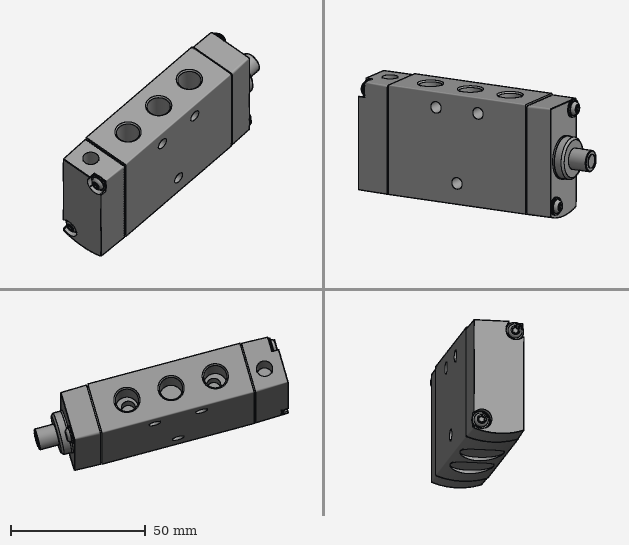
import cadquery as cq
import math

HOUSING_WIDTH = 20.0
HOUSING_TOP = 21.85
HOUSING_BOTTOM = -21.85
HOUSING_REAR = 24.6
HOUSING_FRONT = -34.1
HOUSING_ROUND = 0.5
BELLY_SAG = 1.7
HOUSING_CENTRE = (HOUSING_REAR + HOUSING_FRONT) / 2

PORT_PITCH = 17.0
PORT_DIAMETER = 8.6
PORT_RIM_DIAMETER = 9.7
PORT_RIM_DEPTH = 0.6
PORT_DEPTH = 11.35
PASSAGE_DIAMETER = 5.2
PASSAGE_DEPTH = 17.0
PASSAGE_SHIFT = 0.6

SEAT_PITCH = 19.5
SEAT_DIAMETER = 16.5
SEAT_DEPTH = 1.3

MOUNT_DIAMETER = 4.4
MOUNT_PITCH = 18.0
MOUNT_UPPER_Z = 15.9
MOUNT_LOWER_Z = -12.1

CAP_GAP = 0.6
NECK_INSET = 0.5
CAP_INNER_WIDTH = 19.9
CAP_TOP = 21.5
CAP_CHAMFER = 0.2
CAP_DRAFT = 2.1
REAR_CAP_END = 35.2
REAR_CAP_FLAT_WIDTH = 18.0
FRONT_CAP_END = -47.3
FRONT_CAP_FLAT_WIDTH = 18.35
PILOT_DIAMETER = 6.0
PILOT_X = -2.0
PILOT_Y = -40.2
PILOT_DEPTH = 9.5

SCREW_X = 6.39
SCREW_UPPER_Z = 18.3
SCREW_LOWER_Z = -16.5
WASHER_DIAMETER = 6.8
WASHER_THICKNESS = 0.4
COLLAR_DIAMETER = 6.6
COLLAR_THICKNESS = 0.5
HEAD_DIAMETER = 5.4
HEAD_TOP_DIAMETER = 3.4
HEAD_HEIGHT = 1.4
HEAD_BULGE = 0.3
SOCKET_DIAMETER = 2.2
SOCKET_LOBE_DIAMETER = 0.6
SOCKET_TIP_DIAMETER = 2.7
SOCKET_DEPTH = 0.9
SOCKET_LOBES = 6
RECESS_DIAMETER = 7.4
RECESS_DEPTH = 2.7
RELIEF_WIDTH = 5.3

AXIS_Z = 0.85
BUSH_FLANGE_DIAMETER = 16.5
BUSH_FLANGE_THICKNESS = 0.7
BUSH_DIAMETER = 16.0
BUSH_END = 39.5
BUSH_CHAMFER = 0.85
PLUNGER_DIAMETER = 8.0
PLUNGER_END = 47.3
PLUNGER_INNER_END = HOUSING_REAR + CAP_GAP
PLUNGER_CHAMFER = 0.3
TIP_DIAMETER = 5.2
TIP_HEIGHT = 0.3


def section(width, top, bottom, corner_radius):
    """Upright rectangle with an arched underside and rounded corners."""
    half = width / 2
    side_bottom = bottom + BELLY_SAG
    return (
        cq.Sketch()
        .segment((-half, side_bottom), (-half, top))
        .segment((half, top))
        .segment((half, side_bottom))
        .arc((half, side_bottom), (0, bottom), (-half, side_bottom))
        .assemble()
        .vertices()
        .fillet(corner_radius)
    )


def along_y(start):
    """Upright plane at Y = start; positive extrusions run towards -Y."""
    return cq.Workplane("XZ", origin=(0, start, 0))


def make_housing():
    body = (
        along_y(HOUSING_REAR)
        .placeSketch(section(HOUSING_WIDTH, HOUSING_TOP, HOUSING_BOTTOM, HOUSING_ROUND))
        .extrude(HOUSING_REAR - HOUSING_FRONT)
    )
    top = cq.Workplane("XY", origin=(0, HOUSING_CENTRE, HOUSING_TOP))
    for side in (-1, 0, 1):
        port = top.center(0, side * PORT_PITCH)
        body = body.cut(port.circle(PORT_DIAMETER / 2).extrude(-PORT_DEPTH))
        rim = (
            port.circle(PORT_RIM_DIAMETER / 2)
            .workplane(offset=-PORT_RIM_DEPTH)
            .circle(PORT_DIAMETER / 2)
            .loft()
        )
        body = body.cut(rim)
        if side:
            passage = top.center(0, side * (PORT_PITCH - PASSAGE_SHIFT))
            body = body.cut(passage.circle(PASSAGE_DIAMETER / 2).extrude(-PASSAGE_DEPTH))

    seats = (
        cq.Workplane("XY", origin=(0, HOUSING_CENTRE, HOUSING_BOTTOM))
        .pushPoints([(0, side * SEAT_PITCH / 2) for side in (-1, 1)])
        .circle(SEAT_DIAMETER / 2)
        .extrude(SEAT_DEPTH)
    )
    mounts = (
        cq.Workplane("YZ", origin=(0, HOUSING_CENTRE, 0))
        .pushPoints([
            (-MOUNT_PITCH / 2, MOUNT_UPPER_Z),
            (MOUNT_PITCH / 2, MOUNT_UPPER_Z),
            (0, MOUNT_LOWER_Z),
        ])
        .circle(MOUNT_DIAMETER / 2)
        .extrude(HOUSING_WIDTH, both=True)
    )
    return body.cut(seats).cut(mounts)


def make_cap(housing_face, end, flat_width):
    """Drafted cap on a narrower neck that bridges the groove; its top flat keeps one width."""
    outward = math.copysign(1, end - housing_face)
    inner = housing_face + outward * CAP_GAP
    length = abs(end - inner)
    outer_width = CAP_INNER_WIDTH - 2 * length * math.tan(math.radians(CAP_DRAFT))
    inner_radius = (CAP_INNER_WIDTH - flat_width) / 2
    outer_radius = (outer_width - flat_width) / 2
    outer_section = section(outer_width, CAP_TOP, HOUSING_BOTTOM, outer_radius)
    cap = (
        along_y(inner)
        .placeSketch(
            section(CAP_INNER_WIDTH, CAP_TOP, HOUSING_BOTTOM, inner_radius),
            outer_section.moved(cq.Location((0, 0, -outward * length))),
        )
        .loft(ruled=True)
        .faces(">Y" if outward > 0 else "<Y")
        .chamfer(CAP_CHAMFER)
    )
    neck_section = section(
        CAP_INNER_WIDTH - 2 * NECK_INSET,
        CAP_TOP - NECK_INSET,
        HOUSING_BOTTOM + NECK_INSET,
        inner_radius,
    )
    neck = along_y(housing_face).placeSketch(neck_section).extrude(-outward * CAP_GAP)
    return cap.union(neck)


def make_screw():
    """Washer-head screw seated on Z = 0, with a six-lobed socket in its domed head."""
    collar_top = WASHER_THICKNESS + COLLAR_THICKNESS
    height = collar_top + HEAD_HEIGHT
    head_mid = ((HEAD_DIAMETER + HEAD_TOP_DIAMETER) / 4 + HEAD_BULGE, collar_top + HEAD_HEIGHT / 2)
    head = (
        cq.Workplane("XZ")
        .lineTo(WASHER_DIAMETER / 2, 0)
        .lineTo(WASHER_DIAMETER / 2, WASHER_THICKNESS)
        .lineTo(COLLAR_DIAMETER / 2, WASHER_THICKNESS)
        .lineTo(COLLAR_DIAMETER / 2, collar_top)
        .lineTo(HEAD_DIAMETER / 2, collar_top)
        .threePointArc(head_mid, (HEAD_TOP_DIAMETER / 2, height))
        .lineTo(0, height)
        .close()
        .revolve(360, (0, 0), (0, 1))
    )
    socket_top = cq.Workplane("XY", origin=(0, 0, height))
    lobe_circle = (SOCKET_TIP_DIAMETER - SOCKET_LOBE_DIAMETER) / 2
    socket = socket_top.circle(SOCKET_DIAMETER / 2).extrude(-SOCKET_DEPTH)
    lobes = (
        socket_top.polarArray(lobe_circle, 90, 360, SOCKET_LOBES)
        .circle(SOCKET_LOBE_DIAMETER / 2)
        .extrude(-SOCKET_DEPTH)
    )
    return head.cut(socket).cut(lobes)


def make_bush():
    """Flanged bush with a chamfered mouth."""
    flange_top = REAR_CAP_END + BUSH_FLANGE_THICKNESS
    chamfer_start = BUSH_END - BUSH_CHAMFER
    return (
        cq.Workplane("XY")
        .moveTo(0, REAR_CAP_END)
        .lineTo(BUSH_FLANGE_DIAMETER / 2, REAR_CAP_END)
        .lineTo(BUSH_FLANGE_DIAMETER / 2, flange_top)
        .lineTo(BUSH_DIAMETER / 2, flange_top)
        .lineTo(BUSH_DIAMETER / 2, chamfer_start)
        .lineTo(BUSH_DIAMETER / 2 - BUSH_CHAMFER, BUSH_END)
        .lineTo(0, BUSH_END)
        .close()
        .revolve(360, (0, 0), (0, 1))
        .translate((0, 0, AXIS_Z))
    )


def make_rear_cap():
    cap = make_cap(HOUSING_REAR, REAR_CAP_END, REAR_CAP_FLAT_WIDTH)
    cap = cap.union(make_bush())
    for x, z in ((-SCREW_X, SCREW_UPPER_Z), (SCREW_X, SCREW_LOWER_Z)):
        screw = make_screw().rotate((0, 0, 0), (1, 0, 0), -90)
        cap = cap.union(screw.translate((x, REAR_CAP_END, z)))
    bore = (
        along_y(BUSH_END)
        .center(0, AXIS_Z)
        .circle(PLUNGER_DIAMETER / 2)
        .extrude(BUSH_END - PLUNGER_INNER_END)
    )
    return cap.cut(bore)


def make_front_cap():
    cap = make_cap(HOUSING_FRONT, FRONT_CAP_END, FRONT_CAP_FLAT_WIDTH)
    pilot = (
        cq.Workplane("XY", origin=(PILOT_X, PILOT_Y, CAP_TOP))
        .circle(PILOT_DIAMETER / 2)
        .extrude(-PILOT_DEPTH)
    )
    cap = cap.cut(pilot)
    recess_floor = FRONT_CAP_END + RECESS_DEPTH
    upper = along_y(recess_floor).center(SCREW_X, SCREW_UPPER_Z)
    lower = along_y(recess_floor).center(-SCREW_X, SCREW_LOWER_Z)
    for place in (upper, lower):
        cap = cap.cut(place.circle(RECESS_DIAMETER / 2).extrude(RECESS_DEPTH))
    corner_shift = (RECESS_DIAMETER - RELIEF_WIDTH) / 2
    upper_relief = upper.center(corner_shift, corner_shift).rect(RECESS_DIAMETER, RECESS_DIAMETER)
    lower_relief = lower.center(-RECESS_DIAMETER / 2, 0).rect(RECESS_DIAMETER, RELIEF_WIDTH)
    for relief in (upper_relief, lower_relief):
        cap = cap.cut(relief.extrude(RECESS_DEPTH))
    for x, z in ((SCREW_X, SCREW_UPPER_Z), (-SCREW_X, SCREW_LOWER_Z)):
        screw = make_screw().rotate((0, 0, 0), (1, 0, 0), 90)
        cap = cap.union(screw.translate((x, recess_floor, z)))
    return cap


def make_plunger():
    shoulder = PLUNGER_END - TIP_HEIGHT
    rod = (
        along_y(shoulder)
        .center(0, AXIS_Z)
        .circle(PLUNGER_DIAMETER / 2)
        .extrude(shoulder - PLUNGER_INNER_END)
        .faces(">Y")
        .chamfer(PLUNGER_CHAMFER)
    )
    tip = along_y(PLUNGER_END).center(0, AXIS_Z).circle(TIP_DIAMETER / 2).extrude(TIP_HEIGHT)
    return rod.union(tip)


housing = make_housing()
rear_cap = make_rear_cap()
front_cap = make_front_cap()
plunger = make_plunger()

result = cq.Compound.makeCompound([
    housing.solids().val(),
    rear_cap.solids().val(),
    front_cap.solids().val(),
    plunger.solids().val(),
])